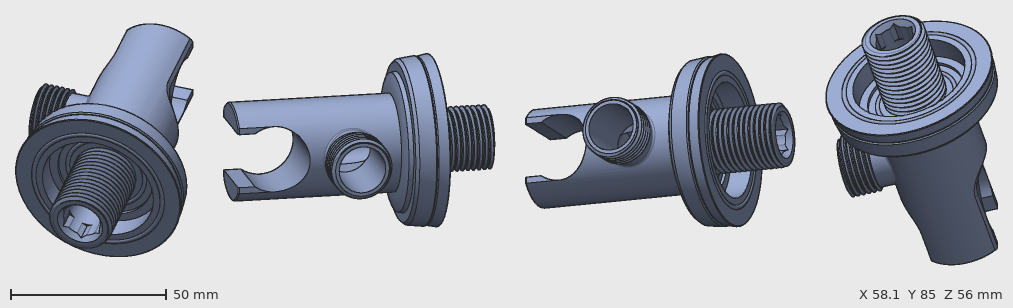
import cadquery as cq
import math


THREAD_TURNS = 14
THREAD_TURNS_LENGTH = 25.5
THREAD_PITCH = THREAD_TURNS_LENGTH / THREAD_TURNS
THREAD_START_BEVEL = 0.4
THREAD_BASE = 1.5
THREAD_CREST_FLAT = 0.2
THREAD_BURY = 0.1
THREAD_CLEARANCE = 0.4

ARM_R = 16.0
ARM_END_Y = 66.5
ARM_FOOT_Y = 8.4
ARM_END_CHAMFER = 0.4
WATERWAY_R = 6.2
WATERWAY_END_Y = 36.3
DRILL_POINT_ANGLE = 118.0

OUTLET_Y = 29.5
OUTLET_END_X = 30.1
OUTLET_BORE_R = 7.65
OUTLET_NECK_R = 8.9
OUTLET_NECK_FILLET = 0.7
OUTLET_THREAD_R = 10.0
OUTLET_ROOT_R = 9.1
OUTLET_THREAD_LENGTH = 10.2
OUTLET_TIP_R = 8.8
OUTLET_TIP_LENGTH = 0.8

CRADLE_R = 10.9
CRADLE_Y = 54.6
CRADLE_MOUTH = 17.7
CRADLE_BACK_X = 10.4
CRADLE_BACK_Y = 43.6
CRADLE_BACK_ARC_R = 8.7
CRADLE_BACK_CHAMFER = 1.0

NIPPLE_THREAD_R = 10.45
NIPPLE_ROOT_R = 9.35
NIPPLE_END_Y = -18.5
NIPPLE_TIP_R = 9.2
NIPPLE_TIP_LENGTH = 0.4
NIPPLE_MOUTH_R = 7.65
NIPPLE_MOUTH_DEPTH = 2.0
NIPPLE_SPIGOT_LENGTH = 8.5
HEX_ACROSS_FLATS = 12.0
HEX_DEPTH = 7.3

ESCUTCHEON_TOP_Y = 11.05
ESCUTCHEON_TOP_R = 25.9
ESCUTCHEON_CHAMFER_Y = 9.95
ESCUTCHEON_CHAMFER_R = 26.9
ESCUTCHEON_EDGE_R = 27.5
DOME_BASE_R = 22.9
DOME_SHOULDER_R = 22.5
DOME_SHOULDER_Y = 12.6
DOME_TOP_Y = 13.6
RECESS_R = 18.8
RECESS_FLOOR_Y = 7.3

RING_OUTER_R = 28.0
RING_EDGE_CHAMFER = 0.25
RING_TOP_R = 27.3
RING_SPIGOT_R = 22.5
SEAM_Y = 4.1
SEAM_BEVEL = 0.4

WALL_SEAL_R = 21.8
WALL_SEAL_CORD_R = 0.8
WALL_SEAL_PROUD = 0.3
FOOT_SEAL_R = 13.0
FOOT_SEAL_CORD_R = 0.7
FOOT_SEAL_PROUD = 0.4

OVERCUT = 4.25
PICK_MARGIN = 0.1
HEX_HALF_CORNER_ANGLE = 30.0


def revolved(profile):
    """Turn a closed (radius, y) profile about the Y axis."""
    return cq.Workplane("XY").polyline(profile).close().revolve(360, (0, 0), (0, 1))


def cylinder_y(radius, y_start, y_end):
    return revolved([(0, y_start), (radius, y_start), (radius, y_end), (0, y_end)])


def drill_point_length(radius):
    return radius / math.tan(math.radians(DRILL_POINT_ANGLE / 2))


def threaded_rod(length, crest_r, root_r, tip_r, tip_length):
    """Threaded rod from z = 0 to a chamfered tip at z = length."""
    half_base = THREAD_BASE / 2
    half_crest = THREAD_CREST_FLAT / 2
    helix = cq.Wire.makeHelix(THREAD_PITCH, length + 2 * THREAD_PITCH, root_r)
    ridge = (
        cq.Workplane("XZ")
        .polyline(
            [
                (root_r - THREAD_BURY, -half_base),
                (crest_r, -half_crest),
                (crest_r, half_crest),
                (root_r - THREAD_BURY, half_base),
            ]
        )
        .close()
        .sweep(cq.Workplane(helix), isFrenet=True)
        .translate((0, 0, -THREAD_PITCH))
    )
    envelope_r = crest_r + THREAD_CLEARANCE
    envelope = (
        cq.Workplane("XZ")
        .polyline(
            [
                (0, 0),
                (root_r, 0),
                (envelope_r, THREAD_START_BEVEL),
                (envelope_r, length - tip_length),
                (tip_r, length),
                (0, length),
            ]
        )
        .close()
        .revolve(360, (0, 0), (0, 1))
    )
    core_overrun = 2 * THREAD_PITCH
    core = cq.Workplane("XY", origin=(0, 0, -core_overrun)).circle(root_r).extrude(length + 2 * core_overrun)
    return core.union(ridge).intersect(envelope)


def seal_groove(centre_r, cord_r, face_y, proud):
    """Square groove that an O-ring fills from wall to wall, open at face_y."""
    inner_r = centre_r - cord_r
    outer_r = centre_r + cord_r
    floor_y = face_y + 2 * cord_r - proud
    return revolved([(inner_r, face_y), (outer_r, face_y), (outer_r, floor_y), (inner_r, floor_y)])


def o_ring(centre_r, cord_r, face_y, proud):
    centre_y = face_y + cord_r - proud
    cord = cq.Workplane("XY").center(centre_r, centre_y).circle(cord_r)
    return cord.revolve(360, (-centre_r, 0), (-centre_r, 1))


def cradle_cut():
    """Keyhole through the arm along X: a round seat and a narrower mouth."""
    span = 2 * (ARM_R + OVERCUT)
    slot_length = ARM_END_Y + OVERCUT - CRADLE_Y
    seat = cq.Workplane("YZ").center(CRADLE_Y, 0).circle(CRADLE_R).extrude(span / 2, both=True)
    mouth = cq.Workplane("XY").box(span, slot_length, CRADLE_MOUTH)
    mouth = mouth.translate((0, CRADLE_Y + slot_length / 2, 0))
    return seat.union(mouth)


def front_flat_cut():
    """Flat on the -X side of the fork, where the arm is as wide as the cradle seat."""
    flat_x = math.sqrt(ARM_R**2 - CRADLE_R**2)
    length = ARM_END_Y + OVERCUT - CRADLE_Y
    block = cq.Workplane("XY").box(ARM_R, length, 2 * ARM_R)
    return block.translate((-flat_x - ARM_R / 2, CRADLE_Y + length / 2, 0))


def back_flat_cut():
    """Flat on the +X side of the fork, running out to the arm surface in an arc."""
    outer_x = CRADLE_BACK_X + CRADLE_BACK_ARC_R
    mid = CRADLE_BACK_ARC_R * math.sqrt(0.5)
    return (
        cq.Workplane("XY")
        .moveTo(CRADLE_BACK_X, ARM_END_Y + OVERCUT)
        .lineTo(CRADLE_BACK_X, CRADLE_BACK_Y)
        .threePointArc(
            (outer_x - mid, CRADLE_BACK_Y - mid),
            (outer_x, CRADLE_BACK_Y - CRADLE_BACK_ARC_R),
        )
        .lineTo(outer_x, ARM_END_Y + OVERCUT)
        .close()
        .extrude(ARM_R, both=True)
    )


def waterway_cut():
    """Socket for the nipple spigot and the blind bore that ends in a drill point."""
    socket_end_y = ARM_FOOT_Y + NIPPLE_SPIGOT_LENGTH
    return revolved(
        [
            (0, ARM_FOOT_Y),
            (NIPPLE_ROOT_R, ARM_FOOT_Y),
            (NIPPLE_ROOT_R, socket_end_y),
            (WATERWAY_R, socket_end_y),
            (WATERWAY_R, WATERWAY_END_Y),
            (0, WATERWAY_END_Y + drill_point_length(WATERWAY_R)),
        ]
    )


def outlet_bore_cut():
    """Bore of the hose outlet, whose drill point ends on the main axis."""
    return (
        cq.Workplane("XY")
        .polyline(
            [
                (0, 0),
                (-drill_point_length(OUTLET_BORE_R), OUTLET_BORE_R),
                (-OUTLET_END_X, OUTLET_BORE_R),
                (-OUTLET_END_X, 0),
            ]
        )
        .close()
        .revolve(360, (0, 0), (1, 0))
        .translate((0, OUTLET_Y, 0))
    )


def shape_fork(holder):
    """Cut the fork from the solid arm, bevelling its outer edges before the cradle is cut."""
    holder = holder.cut(back_flat_cut())
    back_edges = cq.selectors.BoxSelector(
        (CRADLE_BACK_X - PICK_MARGIN, CRADLE_BACK_Y - ARM_R, -ARM_R),
        (ARM_R + PICK_MARGIN, ARM_END_Y - PICK_MARGIN, ARM_R),
    )
    holder = holder.edges(back_edges).chamfer(CRADLE_BACK_CHAMFER)
    holder = holder.cut(front_flat_cut())

    outline = cq.selectors.BoxSelector(
        (-ARM_R, ARM_END_Y - PICK_MARGIN, -ARM_R),
        (CRADLE_BACK_X - CRADLE_BACK_CHAMFER, ARM_END_Y + PICK_MARGIN, ARM_R),
    )
    holder = holder.faces(">Y").edges(outline).chamfer(ARM_END_CHAMFER)
    return holder.cut(cradle_cut())


def make_holder():
    arm = cylinder_y(ARM_R, ARM_FOOT_Y, ARM_END_Y)
    neck_length = OUTLET_END_X - OUTLET_THREAD_LENGTH
    neck = cq.Workplane("YZ").center(OUTLET_Y, 0).circle(OUTLET_NECK_R).extrude(-neck_length)
    holder = arm.union(neck)
    root_edge = cq.selectors.BoxSelector(
        (-ARM_R - PICK_MARGIN, OUTLET_Y - ARM_R, -ARM_R),
        (-OUTLET_NECK_R, OUTLET_Y + ARM_R, ARM_R),
    )
    holder = holder.edges(root_edge).fillet(OUTLET_NECK_FILLET)

    holder = shape_fork(holder)

    thread = threaded_rod(
        OUTLET_THREAD_LENGTH, OUTLET_THREAD_R, OUTLET_ROOT_R, OUTLET_TIP_R, OUTLET_TIP_LENGTH
    )
    thread = thread.rotate((0, 0, 0), (0, 1, 0), -90).translate((-neck_length, OUTLET_Y, 0))
    holder = holder.union(thread)
    holder = holder.cut(waterway_cut()).cut(outlet_bore_cut())
    return holder.cut(seal_groove(FOOT_SEAL_R, FOOT_SEAL_CORD_R, ARM_FOOT_Y, FOOT_SEAL_PROUD))


def make_nipple():
    thread_length = ARM_FOOT_Y - NIPPLE_END_Y
    thread = threaded_rod(
        thread_length, NIPPLE_THREAD_R, NIPPLE_ROOT_R, NIPPLE_TIP_R, NIPPLE_TIP_LENGTH
    )
    thread = thread.rotate((0, 0, 0), (1, 0, 0), 90).translate((0, ARM_FOOT_Y, 0))
    spigot_end_y = ARM_FOOT_Y + NIPPLE_SPIGOT_LENGTH
    spigot = cylinder_y(NIPPLE_ROOT_R, ARM_FOOT_Y, spigot_end_y)
    bore = revolved(
        [
            (0, NIPPLE_END_Y),
            (NIPPLE_MOUTH_R, NIPPLE_END_Y),
            (WATERWAY_R, NIPPLE_END_Y + NIPPLE_MOUTH_DEPTH),
            (WATERWAY_R, spigot_end_y),
            (0, spigot_end_y),
        ]
    )
    hex_across_corners = HEX_ACROSS_FLATS / math.cos(math.radians(HEX_HALF_CORNER_ANGLE))
    hex_socket = (
        cq.Workplane("XZ", origin=(0, NIPPLE_END_Y, 0))
        .transformed(rotate=(0, 0, 90))
        .polygon(6, hex_across_corners)
        .extrude(-HEX_DEPTH)
    )
    return thread.union(spigot).cut(bore).cut(hex_socket)


def make_escutcheon():
    dome_mid_r = (DOME_SHOULDER_R + ARM_R) / 2
    dome_mid_y = DOME_TOP_Y - (DOME_TOP_Y - DOME_SHOULDER_Y) / 4
    return (
        cq.Workplane("XY")
        .moveTo(RING_SPIGOT_R, SEAM_Y)
        .lineTo(ESCUTCHEON_EDGE_R - SEAM_BEVEL, SEAM_Y)
        .lineTo(ESCUTCHEON_EDGE_R, SEAM_Y + SEAM_BEVEL)
        .lineTo(ESCUTCHEON_CHAMFER_R, ESCUTCHEON_CHAMFER_Y)
        .lineTo(ESCUTCHEON_TOP_R, ESCUTCHEON_TOP_Y)
        .lineTo(DOME_BASE_R, ESCUTCHEON_TOP_Y)
        .lineTo(DOME_SHOULDER_R, DOME_SHOULDER_Y)
        .threePointArc((dome_mid_r, dome_mid_y), (ARM_R, DOME_TOP_Y))
        .lineTo(ARM_R, RECESS_FLOOR_Y)
        .lineTo(RING_SPIGOT_R, RECESS_FLOOR_Y)
        .close()
        .revolve(360, (0, 0), (0, 1))
    )


def make_base_ring():
    """Ring against the wall, with a spigot that lines the recess of the escutcheon."""
    ring = revolved(
        [
            (RECESS_R, 0),
            (RING_OUTER_R - RING_EDGE_CHAMFER, 0),
            (RING_OUTER_R, RING_EDGE_CHAMFER),
            (RING_TOP_R, SEAM_Y - SEAM_BEVEL),
            (RING_TOP_R - SEAM_BEVEL, SEAM_Y),
            (RING_SPIGOT_R, SEAM_Y),
            (RING_SPIGOT_R, RECESS_FLOOR_Y),
            (RECESS_R, RECESS_FLOOR_Y),
        ]
    )
    return ring.cut(seal_groove(WALL_SEAL_R, WALL_SEAL_CORD_R, 0, WALL_SEAL_PROUD))


holder = make_holder()
nipple = make_nipple()
escutcheon = make_escutcheon()
base_ring = make_base_ring()
wall_seal = o_ring(WALL_SEAL_R, WALL_SEAL_CORD_R, 0, WALL_SEAL_PROUD)
foot_seal = o_ring(FOOT_SEAL_R, FOOT_SEAL_CORD_R, ARM_FOOT_Y, FOOT_SEAL_PROUD)

result = cq.Compound.makeCompound(
    [
        holder.val(),
        nipple.val(),
        escutcheon.val(),
        base_ring.val(),
        wall_seal.val(),
        foot_seal.val(),
    ]
)